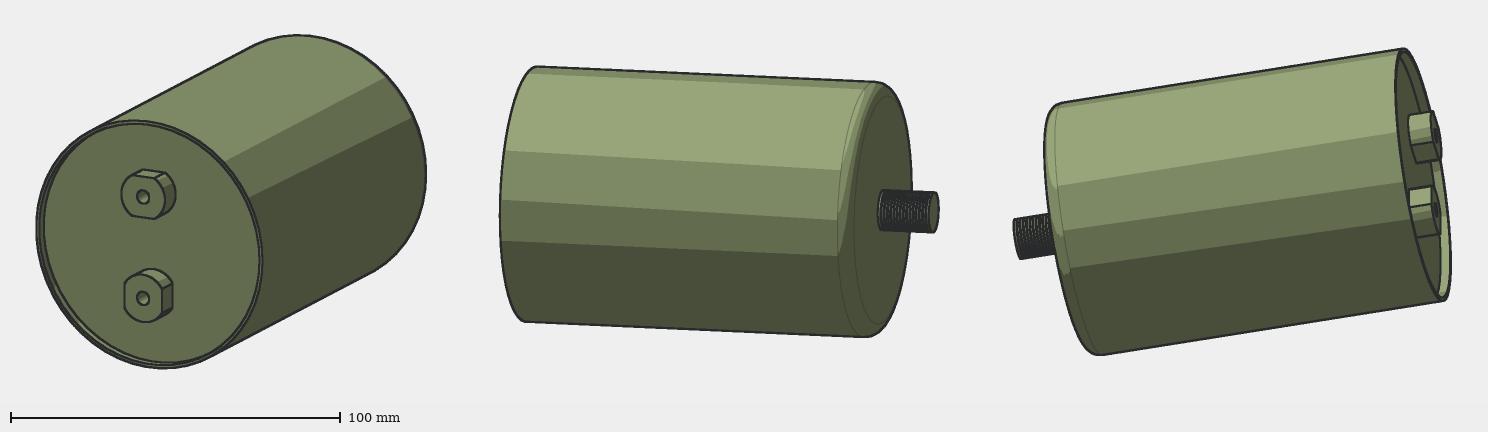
import cadquery as cq

total_length = 130.0
stud_length = 16.0
terminal_projection = 4.0
can_length = total_length - stud_length - terminal_projection

can_diameter = 77.6
can_end_fillet = 4.2
rim_thickness = 1.0
recess_depth = 3.0

stud_diameter = 12.2
thread_turn_count = 16
thread_pitch = stud_length / thread_turn_count
groove_width = 0.15
groove_depth = 0.5

terminal_diameter = 15.0
terminal_flat_width = 12.9
terminal_hole_diameter = 4.2
terminal_spacing = 32.0
terminal_length = recess_depth + terminal_projection


def rod_along_y(diameter, start_y, length):
    """Solid cylinder on the Y axis, running from start_y toward +Y."""
    plane = cq.Workplane("XZ", origin=(0, start_y, 0))
    return plane.circle(diameter / 2).extrude(-length)


def make_can():
    """Can with its open rim at y = 0 and its rounded end at y = can_length."""
    body = rod_along_y(can_diameter, 0, can_length).faces(">Y").edges().fillet(can_end_fillet)
    recess = rod_along_y(can_diameter - 2 * rim_thickness, 0, recess_depth)
    return body.cut(recess)


def make_stud():
    """Mounting stud standing on the closed end of the can."""
    stud = rod_along_y(stud_diameter, can_length, stud_length)
    core_diameter = stud_diameter - 2 * groove_depth
    for ring in range(1, thread_turn_count):
        groove_start = can_length + ring * thread_pitch - groove_width / 2
        groove = rod_along_y(stud_diameter, groove_start, groove_width).cut(
            rod_along_y(core_diameter, groove_start, groove_width)
        )
        stud = stud.cut(groove)
    return stud


def make_terminal(center_z, flat_angle):
    """Terminal post on the deck; flat_angle turns its flats about the post axis (0 = facing X)."""
    post = rod_along_y(terminal_diameter, -terminal_projection, terminal_length)
    flats = cq.Workplane("XY").box(terminal_flat_width, 2 * terminal_length, terminal_diameter)
    hole = rod_along_y(terminal_hole_diameter, -terminal_projection, terminal_length)
    terminal = post.intersect(flats).cut(hole)
    return terminal.rotate((0, 0, 0), (0, 1, 0), flat_angle).translate((0, 0, center_z))


can = make_can()
stud = make_stud()

terminal_placements = [(-terminal_spacing / 2, 0), (terminal_spacing / 2, 90)]
terminals = []
for center_z, flat_angle in terminal_placements:
    terminals.append(make_terminal(center_z, flat_angle).val())

result = cq.Compound.makeCompound([can.val(), stud.val(), *terminals])